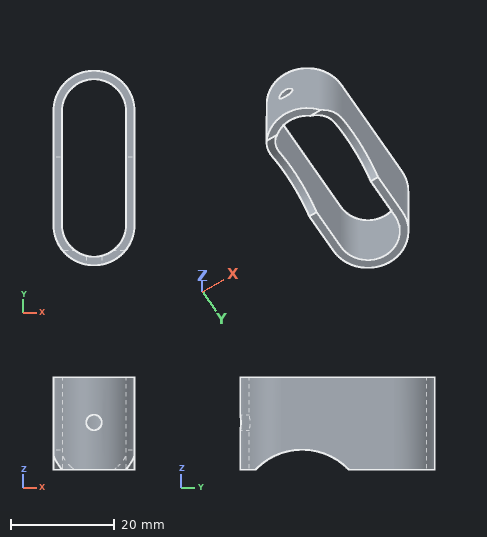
import cadquery as cq

width = 15.8
straight_length = 22.0
height = 18.0
wall = 1.7

saddle_radius = 12.5
saddle_rise = 3.9
saddle_y = -6.85

hole_diameter = 3.0
hole_z = 9.2

overall_length = straight_length + width


def obround_prism(inset):
    """Full-height obround, its outline moved inward by the inset."""
    return (
        cq.Workplane("XY")
        .slot2D(overall_length - 2 * inset, width - 2 * inset, angle=90)
        .extrude(height)
    )


def saddle_cutter():
    """Cylinder along X whose crown forms the arch in the bottom edge."""
    return (
        cq.Workplane("YZ", origin=(-width, 0, 0))
        .center(saddle_y, saddle_rise - saddle_radius)
        .circle(saddle_radius)
        .extrude(2 * width)
    )


def end_hole_cutter():
    """Cylinder along Y from outside the -Y end to the middle of the cavity."""
    return (
        cq.Workplane("XZ")
        .center(0, hole_z)
        .circle(hole_diameter / 2)
        .extrude(overall_length)
    )


sleeve = obround_prism(0).cut(obround_prism(wall))
result = sleeve.cut(saddle_cutter()).cut(end_hole_cutter())